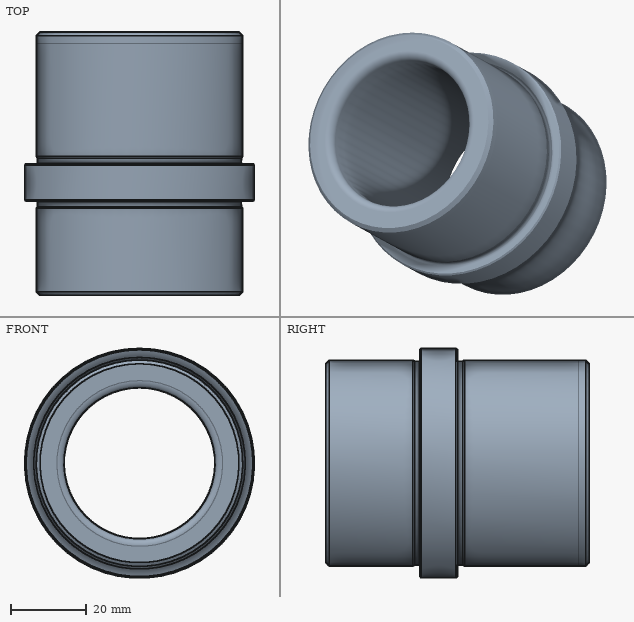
import cadquery as cq

length = 70.0
bore_radius = 20.0
bore_rounding = 2.0
body_radius = 27.4

flange_radius = 30.5
flange_width = 10.0
front_length = 25.0
flange_chamfer = 0.4

groove_floor_width = 1.4
groove_slope_width = 0.5
groove_depth = 0.3
undercut_radius = 28.1
undercut_depth = 0.6
undercut_rounding = 0.4

end_chamfer = 1.0
lead_length = 3.0
lead_taper = 0.03

y_front = -length / 2
y_rear = y_front + length
y_flange_front = y_front + front_length
y_flange_rear = y_flange_front + flange_width
groove_radius = body_radius - groove_depth
groove_width = groove_floor_width + groove_slope_width
lead_radius = body_radius - lead_taper


def turned_solid(points):
    """Revolve a closed (radius, y) outline, drawn on the +Z side, about the Y axis."""
    outline = [(y, radius) for radius, y in points]
    return cq.Workplane("YZ").polyline(outline).close().revolve(360, (0, 0), (1, 0))


def make_sleeve():
    """Outer turned shape with grooves and flange, and a straight through bore."""
    front_body = [
        (bore_radius, y_front),
        (body_radius - end_chamfer, y_front),
        (body_radius, y_front + end_chamfer),
        (body_radius, y_flange_front - groove_width),
        (groove_radius, y_flange_front - groove_floor_width),
    ]
    flange = [
        (groove_radius, y_flange_front + undercut_depth),
        (undercut_radius, y_flange_front),
        (flange_radius - flange_chamfer, y_flange_front),
        (flange_radius, y_flange_front + flange_chamfer),
        (flange_radius, y_flange_rear - flange_chamfer),
        (flange_radius - flange_chamfer, y_flange_rear),
        (undercut_radius, y_flange_rear),
        (groove_radius, y_flange_rear - undercut_depth),
    ]
    rear_body = [
        (groove_radius, y_flange_rear + groove_floor_width),
        (body_radius, y_flange_rear + groove_width),
        (body_radius, y_rear - lead_length),
        (lead_radius, y_rear - end_chamfer),
        (lead_radius - end_chamfer, y_rear),
        (bore_radius, y_rear),
    ]
    return turned_solid(front_body + flange + rear_body)


def round_bore_mouths(sleeve):
    """Round the bore edge at both ends."""
    mouth_edges = sleeve.faces("<Y or >Y").edges(cq.selectors.RadiusNthSelector(0))
    return mouth_edges.fillet(bore_rounding)


def round_undercut_roots(sleeve):
    """Round the corner where each groove floor runs into the flange."""
    flange_zone = cq.selectors.BoxSelector(
        (-flange_radius, y_flange_front, -flange_radius),
        (flange_radius, y_flange_rear, flange_radius),
    )
    circles = sleeve.edges("%CIRCLE").edges(flange_zone)
    return circles.edges(cq.selectors.RadiusNthSelector(0)).fillet(undercut_rounding)


result = round_undercut_roots(round_bore_mouths(make_sleeve()))